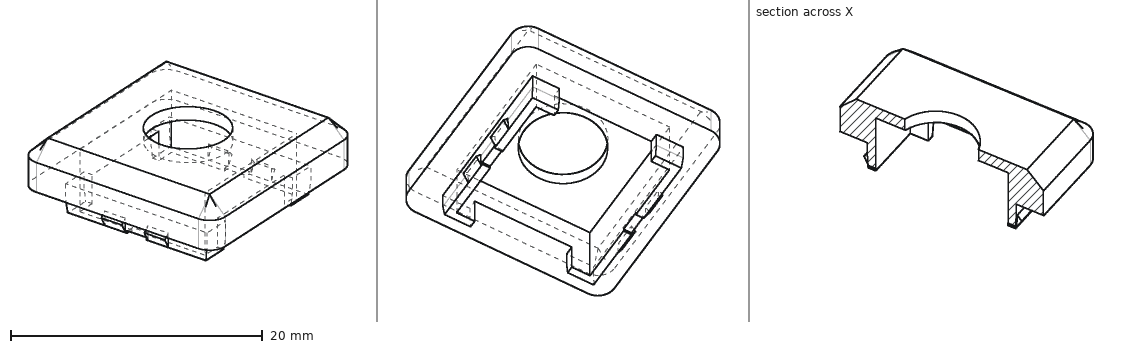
import cadquery as cq

side = 19.04
total_height = 6.84
plate_height = 4.23
edge_size = 1.55
inner_side = side - 2 * edge_size
roof_thickness = 1.22
hole_diameter = 7.1

leg_depth = total_height - plate_height
leg_span = 13.94
leg_wall = 0.8
leg_gap = 8.99
taper_height = 1.22
taper_x = 0.15
taper_y = 0.08
cavity_side = leg_span - 2 * leg_wall

ridge_width = 2.02
ridge_spacing = 4.23
ridge_reach = 0.4
ridge_peak_height = 0.9
ridge_top_height = 1.37
notch_width = 1.9
notch_height = 0.23

leg_bottom = -leg_depth
taper_top = leg_bottom + taper_height


def make_plate_strip(plane):
    """Full-width slab with two bevelled top edges, spanning between the corners."""
    profile = [
        (-side / 2, 0),
        (side / 2, 0),
        (side / 2, plate_height - edge_size),
        (inner_side / 2, plate_height),
        (-inner_side / 2, plate_height),
        (-side / 2, plate_height - edge_size),
    ]
    return cq.Workplane(plane).polyline(profile).close().extrude(inner_side / 2, both=True)


def make_plate_corner():
    """Round corner post whose bevel runs up to a cone point."""
    profile = [
        (0, 0),
        (edge_size, 0),
        (edge_size, plate_height - edge_size),
        (0, plate_height),
    ]
    return cq.Workplane("XZ").polyline(profile).close().revolve(360, (0, 0), (0, 1))


def make_plate():
    """Rounded square plate, its top bevel meeting in a point at each corner."""
    plate = make_plate_strip("XZ").union(make_plate_strip("YZ"))
    corner = make_plate_corner()
    for x in (-inner_side / 2, inner_side / 2):
        for y in (-inner_side / 2, inner_side / 2):
            plate = plate.union(corner.translate((x, y, 0)))
    return plate


def make_skirt():
    """Solid square block below the plate, tapered towards its bottom."""
    straight = cq.Workplane("XY").rect(leg_span, leg_span).extrude(taper_top)
    tapered = (
        cq.Workplane("XY", origin=(0, 0, taper_top))
        .rect(leg_span, leg_span)
        .workplane(offset=-taper_height)
        .rect(leg_span - 2 * taper_x, leg_span - 2 * taper_y)
        .loft(ruled=True)
    )
    return straight.union(tapered)


def make_ridge(x_center):
    """Triangular snap ridge on the outer face of the -Y leg."""
    face = -leg_span / 2
    foot = face + taper_y
    root = face + leg_wall / 2
    ridge_top = leg_bottom + ridge_top_height
    profile = [
        (root, ridge_top),
        (face, ridge_top),
        (face - ridge_reach, leg_bottom + ridge_peak_height),
        (foot, leg_bottom),
        (root, leg_bottom),
    ]
    return (
        cq.Workplane("YZ", origin=(x_center, 0, 0))
        .polyline(profile)
        .close()
        .extrude(ridge_width / 2, both=True)
    )


def make_cavity():
    """Square hollow through the legs up to the underside of the roof."""
    height = leg_depth + plate_height - roof_thickness
    return (
        cq.Workplane("XY", origin=(0, 0, leg_bottom))
        .rect(cavity_side, cavity_side)
        .extrude(height)
    )


leg_split = cq.Workplane("XY").rect(side, leg_gap).extrude(leg_bottom)
notch = (
    cq.Workplane("XY", origin=(0, 0, leg_bottom))
    .rect(notch_width, side)
    .extrude(notch_height)
)
legs = make_skirt().cut(leg_split)

for x_center in (-ridge_spacing / 2, ridge_spacing / 2):
    ridge = make_ridge(x_center)
    legs = legs.union(ridge).union(ridge.mirror("XZ"))

center_hole = cq.Workplane("XY").circle(hole_diameter / 2).extrude(plate_height)

result = make_plate().union(legs).cut(make_cavity()).cut(notch).cut(center_hole)